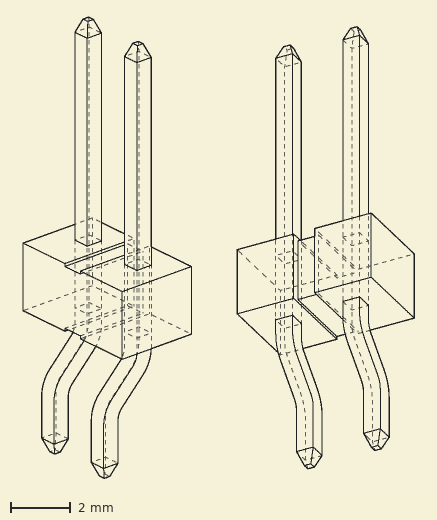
import cadquery as cq
import math

total_height = 15.49
pin_count = 2
pitch = 2.54

housing_length = pin_count * pitch
housing_depth = 3.05
housing_height = 2.5
pin_to_back = 1.27
back_y = pin_to_back
front_y = back_y - housing_depth
groove_width = 0.79
groove_depth = 0.11
back_groove_depth = 0.3

pin_width = 0.64
tip_width = 0.25
tip_length = 0.5
tail_length = 4.85
pin_top = total_height - tail_length
bend_start = -0.55
bend_radius = 0.93
bend_angle = math.radians(45)
tail_y = front_y + pin_width / 2

pin_positions = [(i - (pin_count - 1) / 2) * pitch for i in range(pin_count)]
groove_positions = [(i - pin_count / 2) * pitch for i in range(1, pin_count)]


def make_pin(x):
    """Square pin with an S-bend in the YZ plane and a tapered tip at each end."""
    bend_run = bend_radius * (1 - math.cos(bend_angle))
    bend_drop = bend_radius * math.sin(bend_angle)
    half_run = bend_radius * (1 - math.cos(bend_angle / 2))
    half_drop = bend_radius * math.sin(bend_angle / 2)
    slope_drop = (-tail_y - 2 * bend_run) / math.tan(bend_angle)
    bend_end = bend_start - 2 * bend_drop - slope_drop

    axis = (
        cq.Workplane("YZ", origin=(x, 0, 0))
        .moveTo(0, pin_top - tip_length)
        .lineTo(0, bend_start)
        .threePointArc((-half_run, bend_start - half_drop), (-bend_run, bend_start - bend_drop))
        .lineTo(tail_y + bend_run, bend_end + bend_drop)
        .threePointArc((tail_y + half_run, bend_end + half_drop), (tail_y, bend_end))
        .lineTo(tail_y, -tail_length + tip_length)
    )
    shaft = (
        cq.Workplane("XY", origin=(x, 0, pin_top - tip_length))
        .rect(pin_width, pin_width)
        .sweep(axis)
    )
    upper_tip = make_tip(x, 0, pin_top - tip_length, tip_length)
    lower_tip = make_tip(x, tail_y, -tail_length + tip_length, -tip_length)
    return shaft.union(upper_tip).union(lower_tip)


def make_tip(x, y, base_z, rise):
    """Square frustum narrowing from the pin width at base_z."""
    return (
        cq.Workplane("XY", origin=(x, y, base_z))
        .rect(pin_width, pin_width)
        .workplane(offset=rise)
        .rect(tip_width, tip_width)
        .loft(ruled=True)
    )


def make_housing():
    """Block grooved between the pins on its top, bottom and back, with square pin holes."""
    body = cq.Workplane("XY").box(
        housing_length, housing_depth, housing_height, centered=(True, False, False)
    ).translate((0, front_y, 0))

    for x in groove_positions:
        for base_z in (-groove_depth, housing_height - groove_depth):
            groove = cq.Workplane("XY").box(
                groove_width, housing_depth, 2 * groove_depth, centered=(True, False, False)
            )
            body = body.cut(groove.translate((x, front_y, base_z)))
        back_groove = cq.Workplane("XY").box(
            groove_width, back_groove_depth, housing_height, centered=(True, False, False)
        )
        body = body.cut(back_groove.translate((x, back_y - back_groove_depth, 0)))

    for x in pin_positions:
        hole = cq.Workplane("XY", origin=(x, 0, 0)).rect(pin_width, pin_width).extrude(housing_height)
        body = body.cut(hole)
    return body


housing = make_housing()
pins = [make_pin(x) for x in pin_positions]

result = cq.Compound.makeCompound([housing.val(), *[pin.solids().val() for pin in pins]])